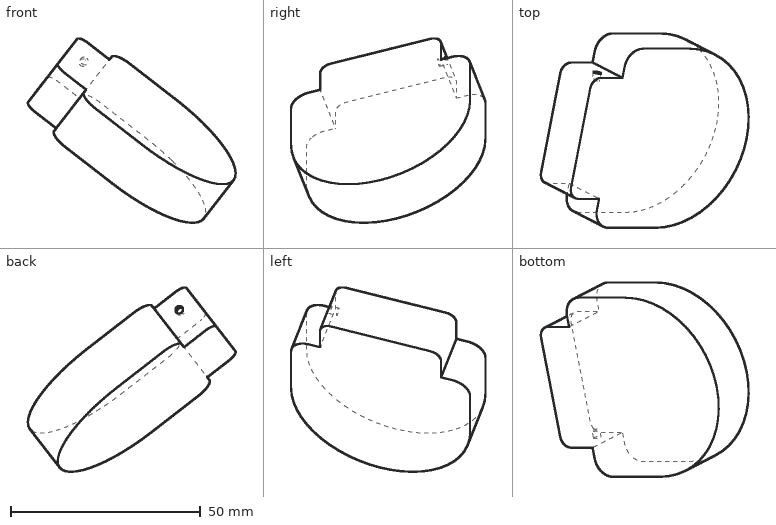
import cadquery as cq
import math

PITCH = 37.8
ROLL = 17.5

THICKNESS = 13.5
WIDTH = 49.45
FLANK_LENGTH = 20.6
SHOULDER_RADIUS = 5.0

TONGUE_WIDTH = 33.4
TONGUE_LENGTH = 10.05
TONGUE_RADIUS = 3.0

HOLE_DIAMETER = 2.0
HOLE_DEPTH = 2.0
HOLE_BELOW_TOP = 4.55

OVERLAP = 10.95


def tilted_plane():
    """Plane of the lower face: x toward the nose, y across, normal through the thickness."""
    pitch = math.radians(PITCH)
    roll = math.radians(ROLL)
    length_dir = (math.cos(pitch), 0, -math.sin(pitch))
    normal = (math.cos(roll) * math.sin(pitch), -math.sin(roll), math.cos(roll) * math.cos(pitch))
    return cq.Plane(origin=(0, 0, 0), xDir=length_dir, normal=normal)


def plate():
    half_width = WIDTH / 2
    return (
        cq.Workplane("XY")
        .moveTo(-FLANK_LENGTH, -half_width)
        .lineTo(0, -half_width)
        .threePointArc((half_width, 0), (0, half_width))
        .lineTo(-FLANK_LENGTH, half_width)
        .close()
        .extrude(THICKNESS)
        .edges("|Z and <X")
        .fillet(SHOULDER_RADIUS)
    )


def tongue():
    return (
        cq.Workplane("XY")
        .box(TONGUE_LENGTH + OVERLAP, TONGUE_WIDTH, THICKNESS, centered=(False, True, False))
        .edges("|Z and <X")
        .fillet(TONGUE_RADIUS)
        .translate((-FLANK_LENGTH - TONGUE_LENGTH, 0, 0))
    )


def flank_hole():
    """Hole cutter, midway along the tongue, entering square to its flank."""
    entry = cq.Vector(-FLANK_LENGTH - TONGUE_LENGTH / 2, TONGUE_WIDTH / 2, THICKNESS - HOLE_BELOW_TOP)
    return cq.Workplane(cq.Solid.makeCylinder(HOLE_DIAMETER / 2, HOLE_DEPTH, entry, cq.Vector(0, -1, 0)))


flat_part = plate().union(tongue()).cut(flank_hole())
result = cq.Workplane(flat_part.val().moved(cq.Location(tilted_plane())))